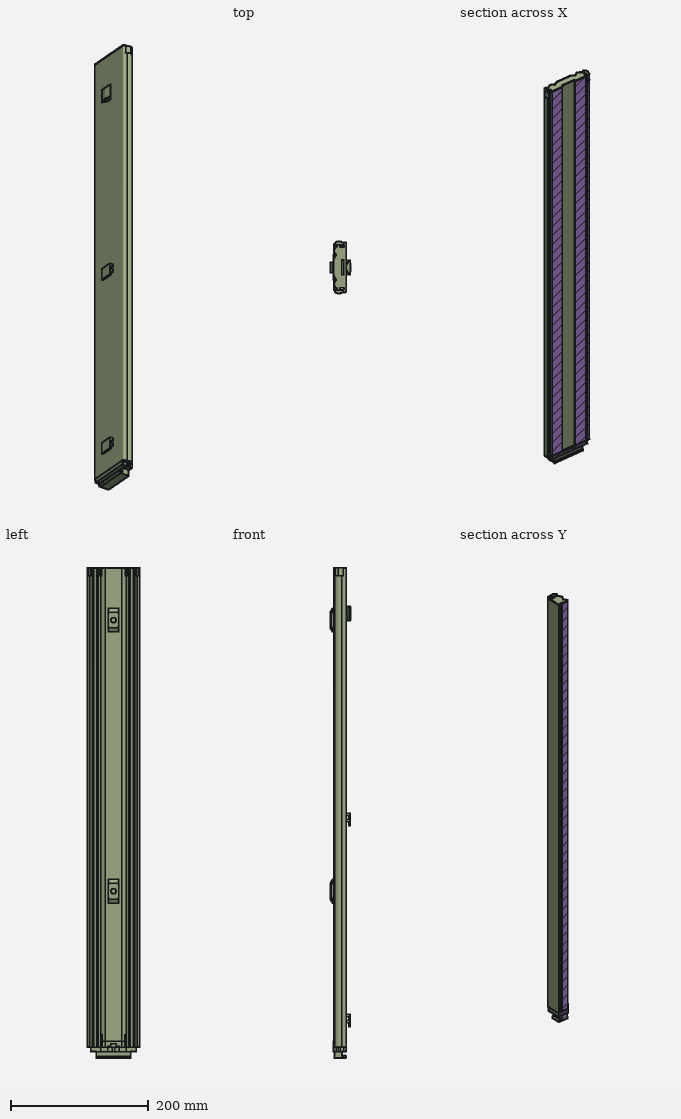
import cadquery as cq
import math

overall_x = 30.39
overall_y = 76.19
overall_z = 711.2
half_x = overall_x / 2
half_y = overall_y / 2
half_z = overall_z / 2

front_x = -9.5
back_x = 8.5
cap_plate_thickness = 1.2
rail_top = half_z - cap_plate_thickness
rail_bottom = -339.5
nose_top = 344.0
nose_cut_y = 33.0
nose_cut_x = 4.3
inner_crest = (-7.6, 16.1)
inner_valley = (-5.9, 18.2)
outer_crest = [(front_x, 22.3), (front_x, 24.0), (-7.4, 28.9)]
outer_valley = (-4.4, 31.0)
panel_half_y = 11.8
nose_radius = 7.2
nose_centre_x = -2.3
nose_centre_y = half_y - nose_radius
nose_front_angle = math.radians(151)
nose_back_angle = math.radians(52)
back_corner_radius = 2.3
back_half_y = 36.4
screw_slot_x = (-0.5, 5.0)
screw_slot_y = (29.8, 32.4)
channel_x = (1.5, 5.0)
channel_half_y = 11.0
cap_nose_angle = math.radians(100)

strap_z = (279.55, -113.55)
strap_half_y = 7.5
strap_foot_half_z = 17.2
strap_top_half_z = 11.3
strap_thickness = 2.8
strap_foot_x = -11.5
strap_hole_diameter = 7.5

hanger_pitch = 291.3
knob_z = 289.0
knob_half_y = 10.5
knob_half_z = 10.3
knob_neck_half_y = 4.5
knob_neck_x = 9.4
knob_rim_x = (13.0, 13.9)
knob_ridge_half_z = 8.7
first_hook_top = -0.5
hook_tops = (first_hook_top, first_hook_top - hanger_pitch)
hook_half_y = 10.4
hook_height = 18.0
hook_arm_x = (11.6, 14.0)
hook_neck_height = 4.0
hook_lower_neck_drop = 8.6

cap_bottom = -346.0
bottom_cap_half_y = 33.2
apron_x = -10.2
apron_half_y = 18.2
apron_top = -331.0
latch_half_y = 8.0
latch_top = -338.3
latch_head_half_y = 4.2
latch_head_top = -334.8
latch_post_half_y = 2.0
latch_depth = 3.0
end_groove_x = (-6.0, -3.0)
end_groove_depth = 1.5
key_top = -322.0
key_front_x = -6.7

foot_half_y = 25.2
foot_front_x = -9.3
foot_block_front_x = -8.8
foot_block_back_x = 2.2
foot_plate_top = -352.6
foot_plate_back_x = 5.0
bead_radius = 2.0
bead_x = 6.3


def box_between(x_range, y_range, z_range):
    """Axis-aligned box between pairs of limits."""
    lows = [min(r) for r in (x_range, y_range, z_range)]
    sizes = [max(r) - min(r) for r in (x_range, y_range, z_range)]
    return cq.Workplane("XY").box(*sizes, centered=False).translate(tuple(lows))


def centred_box(x_range, half_width, z_range):
    """Box symmetric about the XZ plane."""
    return box_between(x_range, (-half_width, half_width), z_range)


def nose_point(angle):
    """Point on the rounded +Y edge of the rail, angle measured from +X."""
    x = nose_centre_x + nose_radius * math.cos(angle)
    y = nose_centre_y + nose_radius * math.sin(angle)
    return (x, y)


def cut_channel(body):
    """Flat central channel running lengthwise behind the panel."""
    return body.cut(centred_box(channel_x, channel_half_y, (rail_bottom, half_z)))


def cut_screw_slots(body):
    """Slots near both long edges, running through the full length."""
    for side in (1, -1):
        slot_y = tuple(side * y for y in screw_slot_y)
        body = body.cut(box_between(screw_slot_x, slot_y, (-half_z, half_z)))
    return body


def mirrored_extrusion(half_outline, bottom, top):
    """Extrude a closed +Y half outline along Z and add its mirror image."""
    half = half_outline.close().extrude(top - bottom).translate((0, 0, bottom))
    return half.union(half.mirror("XZ"))


def close_along_nose_and_back(outline):
    """Finish a half outline round the nose, the rounded back corner and the back."""
    corner_y = back_half_y - back_corner_radius
    return (
        outline
        .threePointArc(nose_point(math.pi / 2), nose_point(nose_back_angle))
        .lineTo(back_x - back_corner_radius, back_half_y)
        .radiusArc((back_x, corner_y), back_corner_radius)
        .lineTo(back_x, 0)
    )


def make_rail_profile():
    """Ribbed front, rounded long edges and flat back."""
    outline = cq.Workplane("XY").polyline([
        (front_x, 0),
        (front_x, panel_half_y),
        inner_crest,
        inner_valley,
        *outer_crest,
        outer_valley,
        nose_point(nose_front_angle),
    ])
    profile = mirrored_extrusion(close_along_nose_and_back(outline), rail_bottom, rail_top)
    for side in (1, -1):
        nose_y = (side * nose_cut_y, side * half_y)
        profile = profile.cut(box_between((-half_x, nose_cut_x), nose_y, (nose_top, half_z)))
    return profile


def make_strap(centre_z):
    """Raised strap with sloped legs, open behind, with a screw hole."""
    inner_x = -half_x + strap_thickness
    inner_top = strap_top_half_z - strap_thickness / 2
    inner_foot = strap_foot_half_z - strap_thickness
    outer = [(front_x, strap_foot_half_z), (strap_foot_x, strap_foot_half_z), (-half_x, strap_top_half_z)]
    inner = [(inner_x, inner_top), (front_x, inner_foot)]
    upper = outer + [(-half_x, -strap_top_half_z)]
    lower = [(x, -z) for x, z in outer[1::-1]]
    opening = [(x, -z) for x, z in inner[::-1]] + inner
    strap = (
        cq.Workplane("XZ").polyline(upper + lower + opening).close()
        .extrude(strap_half_y, both=True)
    )
    hole = cq.Workplane("YZ").circle(strap_hole_diameter / 2).extrude(-half_x)
    hole = hole.intersect(centred_box((-half_x, front_x), strap_half_y, (-half_z, half_z)))
    return strap.cut(hole).translate((0, 0, centre_z))


def make_knob():
    """Mushroom-shaped hanger with a gabled outer face and sloped ends."""
    plan = (
        cq.Workplane("XY").polyline([
            (back_x, -knob_neck_half_y),
            (knob_neck_x, -knob_neck_half_y),
            (knob_rim_x[0], -knob_half_y),
            (knob_rim_x[1], -knob_half_y),
            (half_x, 0),
            (knob_rim_x[1], knob_half_y),
            (knob_rim_x[0], knob_half_y),
            (knob_neck_x, knob_neck_half_y),
            (back_x, knob_neck_half_y),
        ]).close().extrude(knob_half_z, both=True)
    )
    side = (
        cq.Workplane("XZ").polyline([
            (back_x, -knob_half_z),
            (knob_rim_x[1], -knob_half_z),
            (half_x, -knob_ridge_half_z),
            (half_x, knob_ridge_half_z),
            (knob_rim_x[1], knob_half_z),
            (back_x, knob_half_z),
        ]).close().extrude(knob_half_y, both=True)
    )
    return plan.intersect(side).translate((0, 0, knob_z))


def make_hook(top_z):
    """Downward hook held by two necks."""
    arm = centred_box(hook_arm_x, hook_half_y, (top_z - hook_height, top_z))
    for neck_top in (top_z, top_z - hook_lower_neck_drop):
        neck_z = (neck_top - hook_neck_height, neck_top)
        arm = arm.union(centred_box((back_x, hook_arm_x[1]), hook_half_y, neck_z))
    return arm


def make_rail():
    rail = cut_channel(cut_screw_slots(make_rail_profile()))
    for z in strap_z:
        rail = rail.union(make_strap(z))
    rail = rail.union(make_knob())
    for top_z in hook_tops:
        rail = rail.union(make_hook(top_z))
    return rail


def make_top_cap():
    """Thin end plate with skirts that fill the rail grooves and replace the rail noses."""
    outline = cq.Workplane("XY").polyline([
        (front_x, 0),
        (front_x, panel_half_y),
        inner_crest,
        (-6.6, 17.0),
        (-7.3, 19.7),
        *outer_crest,
        (-5.4, 29.9),
        (-6.0, 32.0),
        (-8.5, 33.0),
        (-7.3, 36.0),
        (-5.0, half_y - 0.9),
        nose_point(cap_nose_angle),
    ])
    outline = (
        outline
        .lineTo(*nose_point(nose_back_angle))
        .lineTo(back_x - back_corner_radius, back_half_y)
        .radiusArc((back_x, back_half_y - back_corner_radius), back_corner_radius)
        .lineTo(back_x, 0)
    )
    cap = mirrored_extrusion(outline, nose_top, half_z)
    return cut_channel(cut_screw_slots(cap.cut(make_rail_profile())))


def make_bottom_cap():
    """Slab under the rail with an apron over the panel, a latch recess and two groove keys."""
    slab = centred_box((front_x, back_x), bottom_cap_half_y, (cap_bottom, rail_bottom))
    apron = centred_box((apron_x, front_x), apron_half_y, (cap_bottom, apron_top))
    recess_x = (apron_x, apron_x + latch_depth)
    recess = centred_box(recess_x, latch_half_y, (cap_bottom, latch_top))
    head = centred_box(recess_x, latch_head_half_y, (latch_top, latch_head_top))
    post = centred_box(recess_x, latch_post_half_y, (cap_bottom, rail_bottom))
    cap = slab.union(apron).cut(recess.union(head).cut(post))
    key_outline = [inner_crest, inner_valley, (key_front_x, inner_valley[1])]
    root_outline = [(front_x, inner_crest[1]), inner_crest, inner_valley, (front_x, inner_valley[1])]
    for outline, top in ((key_outline, key_top), (root_outline, apron_top)):
        cap = cap.union(mirrored_extrusion(cq.Workplane("XY").polyline(outline), rail_bottom, top))
    for side in (1, -1):
        groove_y = (side * bottom_cap_half_y, side * (bottom_cap_half_y - end_groove_depth))
        cap = cap.cut(box_between(end_groove_x, groove_y, (cap_bottom, rail_bottom)))
    return cut_screw_slots(cap)


def make_foot():
    """Block on a deeper plate ending in a round bead along the back."""
    block = centred_box((foot_block_front_x, foot_block_back_x), foot_half_y, (foot_plate_top, cap_bottom))
    plate = centred_box((foot_front_x, foot_plate_back_x), foot_half_y, (-half_z, foot_plate_top))
    bead = (
        cq.Workplane("XZ").center(bead_x, -half_z + bead_radius).circle(bead_radius)
        .extrude(foot_half_y, both=True)
    )
    return block.union(plate).union(bead)


rail = make_rail()
top_cap = make_top_cap()
bottom_cap = make_bottom_cap()
foot = make_foot()

result = cq.Compound.makeCompound([rail.val(), top_cap.val(), bottom_cap.val(), foot.val()])